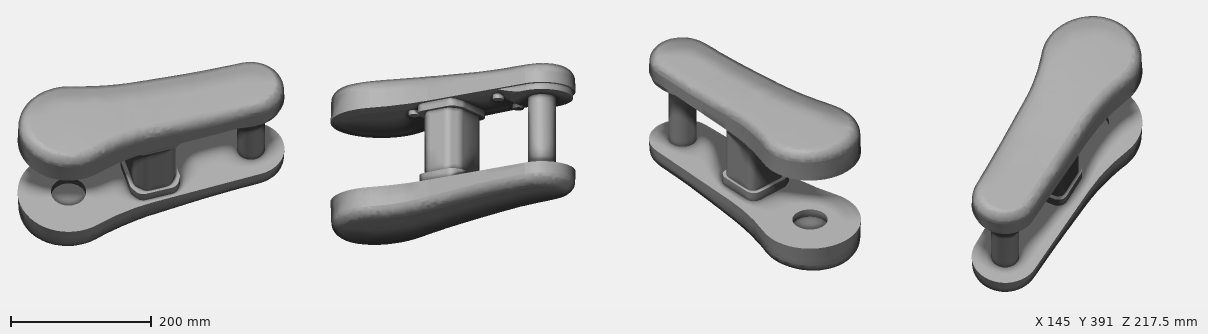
import cadquery as cq
import math

width = 145.0
length = 391.0
height = 217.5
plate_thickness = 49.5
half_gap = height / 2 - plate_thickness

head_radius = width / 2
tail_radius = 47.5
tail_y = length - head_radius - tail_radius
joint_angle = math.radians(18.7)
lean_angle = math.radians(1.8)
wall_draft = 2.0

tail_thickness = 34.8
slope_start_y = -11.7
slope_end_y = 250.0
crown_radius = 312.5
rim_radius = 17.0
trim_allowance = 4.0
blank_margin = 39.0
end_droop = 8.0

lip_depth = 2.5
lip_inset = 17.5

pad_depth = 9.5
pad_inset = 3.5
pad_radius = 45.5
pad_flare = 19.5

post_diameter = 40.0
recess_diameter = 50.0
recess_depth = 12.5

column_x = 6.3
column_y = 120.5
column_size = (71.0, 61.8)
collar_size = (79.5, 73.0)
flange_size = (83.5, 75.5)
column_corner = 11.0
collar_corner = 14.0
column_cut = (14.5, 13.0)
collar_cut = (17.0, 9.0)
cut_blend = 14.0
cut_margin = 0.5
collar_height = 14.0
flange_depth = 11.7

peg_diameter = 16.0
peg_depth = 8.5
peg_x = 26.0
peg_rows_y = (72.0, 213.8)


def on_circle(center, radius, angle):
    return (center[0] + radius * math.cos(angle), center[1] + radius * math.sin(angle))


def mirrored(point):
    return (-point[0], point[1])


def plan_outline(inset=0.0):
    """Closed paddle outline on the XY plane, moved inward by inset."""
    head = head_radius - inset
    tail = tail_radius - inset

    sweep_cosine = math.cos(joint_angle - lean_angle)
    side_distance = tail + tail_y * math.sin(lean_angle)
    flank_radius = (head * sweep_cosine - side_distance) / (1 - sweep_cosine)
    flank_center = on_circle((0, 0), head + flank_radius, joint_angle)

    head_joint = on_circle((0, 0), head, joint_angle)
    mid_angle = math.pi + (joint_angle + lean_angle) / 2
    flank_middle = on_circle(flank_center, flank_radius, mid_angle)
    waist = on_circle(flank_center, flank_radius, math.pi + lean_angle)
    tail_joint = on_circle((0, tail_y), tail, lean_angle)
    return (
        cq.Workplane("XY")
        .moveTo(*head_joint)
        .threePointArc(flank_middle, waist)
        .lineTo(*tail_joint)
        .threePointArc((0, tail_y + tail), mirrored(tail_joint))
        .lineTo(*mirrored(waist))
        .threePointArc(mirrored(flank_middle), mirrored(head_joint))
        .threePointArc((0, -head), head_joint)
        .close()
    )


def crowned_blank():
    """Long block whose top is a crown that falls from the head to the tail."""
    start_y = -head_radius - blank_margin
    end_y = tail_y + tail_radius + blank_margin
    head_slope = 2 * end_droop / (slope_start_y - start_y)
    tail_slope = -2 * end_droop / (end_y - slope_end_y)
    path = (
        cq.Workplane("YZ")
        .moveTo(start_y, plate_thickness - end_droop)
        .spline(
            [
                (slope_start_y, plate_thickness),
                (slope_end_y, tail_thickness),
                (end_y, tail_thickness - end_droop),
            ],
            tangents=[(1, head_slope), (1, 0), (1, 0), (1, tail_slope)],
            includeCurrent=True,
        )
    )

    half_width = head_radius + blank_margin
    crown_drop = crown_radius - math.sqrt(crown_radius**2 - half_width**2)
    center_z = plate_thickness - end_droop
    edge_z = center_z - crown_drop
    return (
        cq.Workplane("XZ", origin=(0, start_y, 0))
        .moveTo(-half_width, -blank_margin)
        .lineTo(half_width, -blank_margin)
        .lineTo(half_width, edge_z)
        .threePointArc((0, center_z), (-half_width, edge_z))
        .close()
        .sweep(path)
    )


def paddle():
    """Drafted plate with its flat inner face on z = 0 and its crown upward."""
    drafted = plan_outline().extrude(plate_thickness + trim_allowance, taper=wall_draft)
    shaped = drafted.intersect(crowned_blank())
    return shaped.faces(">Z").edges().fillet(rim_radius)


def chamfered_bar(size, depth, corner, cut):
    """Bar along +Z with rounded -X corners and blended, chamfered +X corners."""
    right = size[0] / 2
    back = size[1] / 2
    cut_corners = cq.selectors.BoxSelector(
        (right - cut[0] - cut_margin, -back - cut_margin, 0),
        (right + cut_margin, back + cut_margin, depth),
    )
    return (
        cq.Workplane("XY")
        .polyline(
            [
                (-right, -back),
                (right - cut[0], -back),
                (right, -back + cut[1]),
                (right, back - cut[1]),
                (right - cut[0], back),
                (-right, back),
            ]
        )
        .close()
        .extrude(depth)
        .edges("|Z and <X")
        .fillet(corner)
        .edges("|Z")
        .edges(cut_corners)
        .fillet(cut_blend)
        .translate((column_x, column_y, 0))
    )


def tail_pad():
    """Flared disc trimmed by the inset plate outline, hanging below z = 0."""
    flare = (
        cq.Workplane("XY", origin=(0, tail_y, -pad_depth))
        .circle(pad_radius)
        .workplane(offset=pad_depth)
        .circle(pad_radius + pad_flare)
        .loft()
    )
    return flare.intersect(plan_outline(pad_inset).extrude(-pad_depth))


def lower_half():
    """Lower plate, crown downward, with a blind recess in its head."""
    recess = cq.Workplane("XY").circle(recess_diameter / 2).extrude(recess_depth)
    plate = paddle().cut(recess)
    return plate.mirror("XY").translate((0, 0, -half_gap))


def upper_half():
    """Upper plate with the lip, tail pad and pegs below it."""
    lip_taper = math.degrees(math.atan2(lip_inset, lip_depth))
    lip = plan_outline().extrude(-lip_depth, taper=lip_taper)
    pegs = (
        cq.Workplane("XY")
        .pushPoints([(side * peg_x, y) for side in (-1, 1) for y in peg_rows_y])
        .circle(peg_diameter / 2)
        .extrude(-peg_depth)
    )
    half = paddle().union(lip).union(tail_pad()).union(pegs)
    return half.translate((0, 0, half_gap))


def column():
    """Column joining the plates, with its foot collar and head flange."""
    gap = 2 * half_gap
    bar = chamfered_bar(column_size, gap, column_corner, column_cut)
    collar = chamfered_bar(collar_size, collar_height, collar_corner, collar_cut)
    flange = chamfered_bar(flange_size, flange_depth, collar_corner, collar_cut)
    flange = flange.translate((0, 0, gap - flange_depth))
    return bar.union(collar).union(flange).translate((0, 0, -half_gap))


post = (
    cq.Workplane("XY", origin=(0, tail_y, -half_gap))
    .circle(post_diameter / 2)
    .extrude(2 * half_gap)
)

result = lower_half().union(upper_half()).union(column()).union(post)